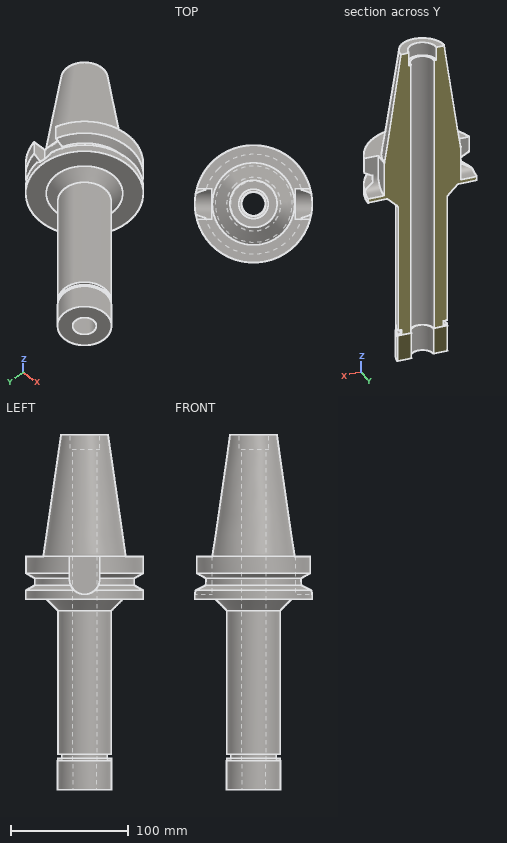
import cadquery as cq
import math

TAPER_LENGTH = 101.8
GAUGE_DIAMETER = 69.85
TAPER_RATIO = 7 / 24
TAPER_SMALL_DIAMETER = GAUGE_DIAMETER - TAPER_RATIO * TAPER_LENGTH

FLANGE_DIAMETER = 100.0
FLANGE_TOP = -1.5
FLANGE_BOTTOM = -38.0
GROOVE_DIAMETER = 85.0
GROOVE_UPPER_EDGE = -15.9
GROOVE_LOWER_EDGE = -30.4
GROOVE_FLANK_ANGLE = 30.0
GROOVE_DEPTH = (FLANGE_DIAMETER - GROOVE_DIAMETER) / 2
GROOVE_SLOPE_HEIGHT = GROOVE_DEPTH * math.tan(math.radians(GROOVE_FLANK_ANGLE))

SLOT_WIDTH = 25.7
SLOT_FLOOR_RADIUS = 35.4
SLOT_BOTTOM = -33.8

SHANK_DIAMETER = 45.5
CONE_TOP_DIAMETER = 65.0
CONE_HEIGHT = (CONE_TOP_DIAMETER - SHANK_DIAMETER) / 2
SHANK_BOTTOM = -169.8
NECK_DIAMETER = 39.0

RING_DIAMETER = 45.8
NUT_DIAMETER = 46.0
NOSE_BOTTOM = -200.0
RING_TOP = -173.1
NUT_TOP = -175.1

MOUTH_DIAMETER = 25.0
MOUTH_DEPTH = 12.5
BORE_DIAMETER = 21.0
NUT_BORE_DIAMETER = 20.0


def tube(outer_diameter, inner_diameter, top, bottom):
    """Plain cylindrical sleeve around the Z axis."""
    return (
        cq.Workplane("XY", origin=(0, 0, bottom))
        .circle(outer_diameter / 2)
        .circle(inner_diameter / 2)
        .extrude(top - bottom)
    )


def turned_holder():
    """Holder without its drive slots: taper, flange, shank, neck and bore."""
    flange_radius = FLANGE_DIAMETER / 2
    groove_radius = GROOVE_DIAMETER / 2
    shank_radius = SHANK_DIAMETER / 2
    neck_radius = NECK_DIAMETER / 2
    bore_radius = BORE_DIAMETER / 2
    mouth_radius = MOUTH_DIAMETER / 2
    mouth_floor = TAPER_LENGTH - MOUTH_DEPTH
    profile = [
        (mouth_radius, TAPER_LENGTH),
        (TAPER_SMALL_DIAMETER / 2, TAPER_LENGTH),
        (GAUGE_DIAMETER / 2, 0),
        (GAUGE_DIAMETER / 2, FLANGE_TOP),
        (flange_radius, FLANGE_TOP),
        (flange_radius, GROOVE_UPPER_EDGE),
        (groove_radius, GROOVE_UPPER_EDGE - GROOVE_SLOPE_HEIGHT),
        (groove_radius, GROOVE_LOWER_EDGE + GROOVE_SLOPE_HEIGHT),
        (flange_radius, GROOVE_LOWER_EDGE),
        (flange_radius, FLANGE_BOTTOM),
        (CONE_TOP_DIAMETER / 2, FLANGE_BOTTOM),
        (shank_radius, FLANGE_BOTTOM - CONE_HEIGHT),
        (shank_radius, SHANK_BOTTOM),
        (neck_radius, SHANK_BOTTOM),
        (neck_radius, NUT_TOP),
        (bore_radius, NUT_TOP),
        (bore_radius, mouth_floor),
        (mouth_radius, mouth_floor),
    ]
    return cq.Workplane("YZ").polyline(profile).close().revolve(360, (0, 0, 0), (0, 1, 0))


def drive_slot(side):
    """Round-bottomed slot cutter, open to the top and outside of the flange."""
    slot_radius = SLOT_WIDTH / 2
    arc_centre = SLOT_BOTTOM + slot_radius
    return (
        cq.Workplane("YZ", origin=(side * SLOT_FLOOR_RADIUS, 0, 0))
        .moveTo(-slot_radius, FLANGE_TOP)
        .lineTo(-slot_radius, arc_centre)
        .threePointArc((0, SLOT_BOTTOM), (slot_radius, arc_centre))
        .lineTo(slot_radius, FLANGE_TOP)
        .close()
        .extrude(side * FLANGE_DIAMETER / 2)
    )


holder = turned_holder()
for side in (-1, 1):
    holder = holder.cut(drive_slot(side))

ring = tube(RING_DIAMETER, NECK_DIAMETER, RING_TOP, NUT_TOP)
nut = tube(NUT_DIAMETER, NUT_BORE_DIAMETER, NUT_TOP, NOSE_BOTTOM)

result = cq.Compound.makeCompound([holder.val(), ring.val(), nut.val()])